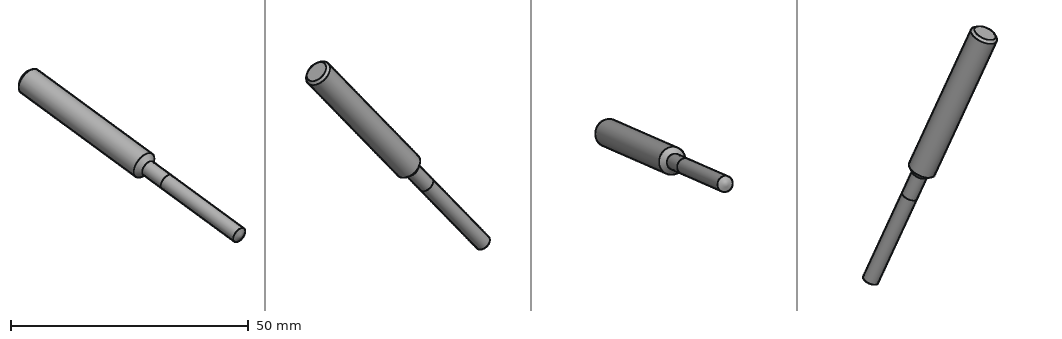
import cadquery as cq
import math

total_length = 66.0
shank_diameter = 6.0
shank_chamfer = 0.6
shoulder_start = 36.05
cutter_start = 43.0
cutter_diameter = 3.5
point_angle = 140.0

shank_radius = shank_diameter / 2
cutter_radius = cutter_diameter / 2
neck_radius = cutter_radius

shoulder_end = shoulder_start + shank_radius - neck_radius
point_length = cutter_radius / math.tan(math.radians(point_angle / 2))


def revolve_about_x(profile):
    """Turn a closed half-profile of (x, radius) points into a solid."""
    return cq.Workplane("XY").polyline(profile).close().revolve(360, (0, 0, 0), (1, 0, 0))


def make_shank():
    """Chamfered shank with a tapered shoulder and a slim neck."""
    return revolve_about_x([
        (0, 0),
        (0, shank_radius - shank_chamfer),
        (shank_chamfer, shank_radius),
        (shoulder_start, shank_radius),
        (shoulder_end, neck_radius),
        (cutter_start, neck_radius),
        (cutter_start, 0),
    ])


def make_cutter():
    """Plain cutting cylinder with a conical point, butted against the neck."""
    return revolve_about_x([
        (cutter_start, 0),
        (cutter_start, cutter_radius),
        (total_length - point_length, cutter_radius),
        (total_length, 0),
    ])


shank = make_shank()
cutter = make_cutter()

result = cq.Compound.makeCompound([shank.val(), cutter.val()])